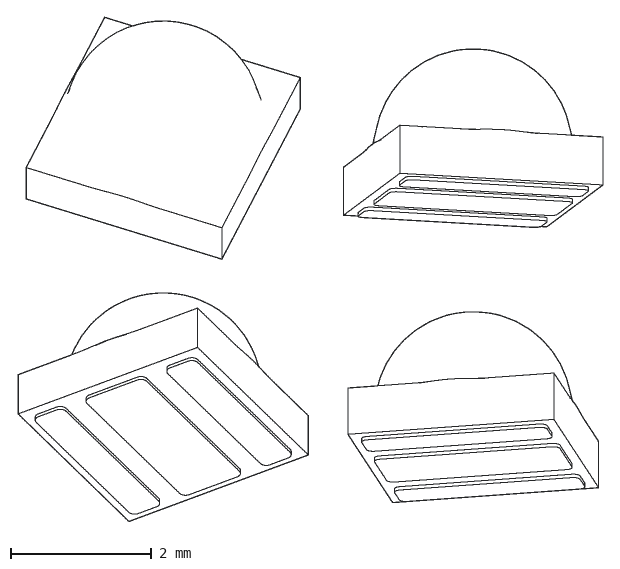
import cadquery as cq

base_side = 3.0
base_bottom = 0.05
base_top = 0.75

foot_radius = 1.585
rim_radius = 1.43
rim_height = 0.855
dome_radius = 1.383
dome_height = 1.065
apex_height = 2.22

pad_length = 2.7
side_pad_width = 0.5
center_pad_width = 1.0
pad_corner_radius = 0.1
side_pad_offset = (pad_length - side_pad_width) / 2


def make_base():
    height = base_top - base_bottom
    return (
        cq.Workplane("XY", origin=(0, 0, base_bottom))
        .rect(base_side, base_side)
        .extrude(height)
    )


def make_lens():
    """Spherical dome on a tapered band, with a concave foot fillet trimmed to the base sides."""
    dome_rise = apex_height - dome_height
    sphere_radius = (dome_radius**2 + dome_rise**2) / (2 * dome_rise)

    fillet_width = foot_radius - rim_radius
    fillet_rise = rim_height - base_top
    fillet_radius = (fillet_width**2 + fillet_rise**2) / (2 * fillet_rise)

    turned = (
        cq.Workplane("XZ")
        .moveTo(0, base_top)
        .lineTo(foot_radius, base_top)
        .radiusArc((rim_radius, rim_height), fillet_radius)
        .lineTo(dome_radius, dome_height)
        .radiusArc((0, apex_height), -sphere_radius)
        .close()
        .revolve(360, (0, 0), (0, 1))
    )
    trim = cq.Workplane("XY").rect(base_side, base_side).extrude(apex_height)
    return turned.intersect(trim)


def make_pad(width, center_x):
    return (
        cq.Workplane("XY")
        .center(center_x, 0)
        .rect(width, pad_length)
        .extrude(base_bottom)
        .edges("|Z")
        .fillet(pad_corner_radius)
    )


result = make_base().union(make_lens())
for pad_width, pad_x in (
    (side_pad_width, -side_pad_offset),
    (center_pad_width, 0),
    (side_pad_width, side_pad_offset),
):
    result = result.union(make_pad(pad_width, pad_x))